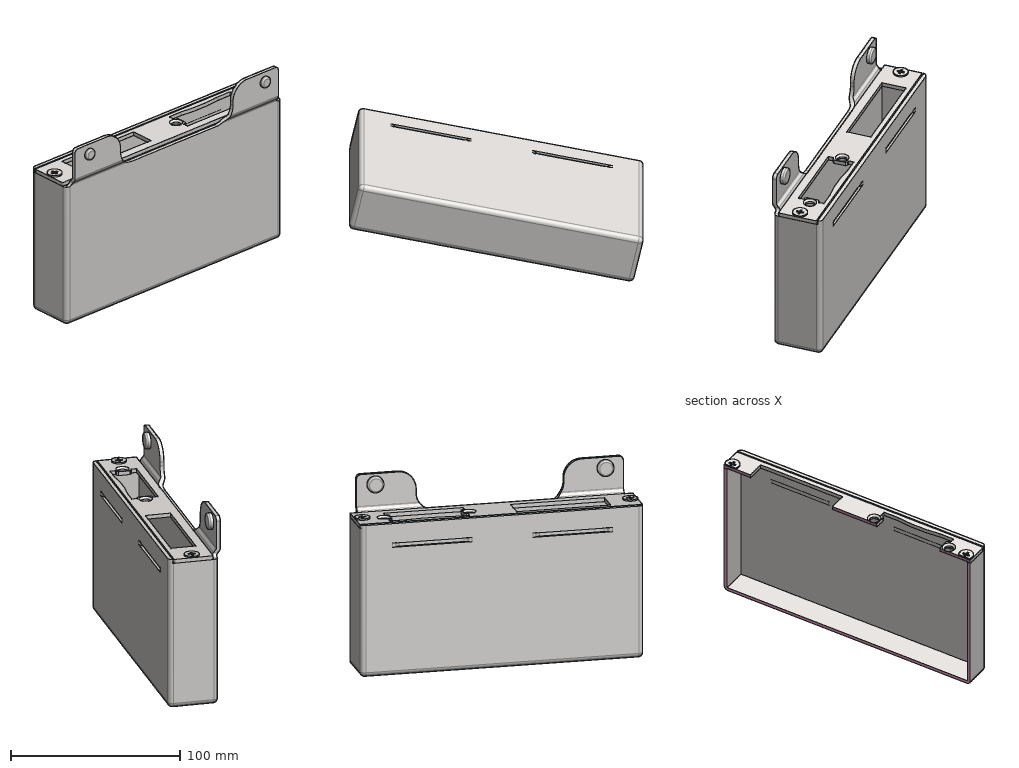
import cadquery as cq
import math

length = 172.0
width = 30.5
body_height = 93.7
total_height = 116.0
sheet = 2.4
bend_radius = 3.0
inner_bend_radius = bend_radius - sheet
rim_height = body_height - sheet

tab_outer_y = 81.2
tab_inner_y = 44.9
tab_sweep_radius = 11.0
tab_corner_radius = 2.5
tab_root_radius = 2.5
jog_angle = 40
jog_rise = sheet / math.tan(math.radians(jog_angle))
jog_inner_start = 93.2
jog_outer_start = jog_inner_start - sheet * math.tan(math.radians(jog_angle / 2))

feature_y = 42.7
groove_length = 48.3
groove_height = 2.5
groove_top = 81.7
groove_depth = 1.7
groove_ramp = 4.5

lid_gap = 0.9
lid_corner_radius = 0.5
lid_width = width - 2 * (sheet + lid_gap)
window_x = 14.0
connector_width = 16.2
connector_length = 48.3
connector_bulge = 1.0
connector_bulge_length = 29.2
lug_width = 9.3
lug_reach = 2.2
lug_chamfer = 1.0
jack_hole_spacing = 52.1
jack_hole_diameter = 5.5
jack_sink_diameter = 7.9
jack_sink_taper = 45
plain_window_width = 15.3
plain_window_length = 57.1
plain_window_y = -38.9

screw_y = 81.5
screw_head_diameter = 9.0
screw_head_height = 0.9
screw_shank_diameter = 4.1
cross_length = 4.3
cross_width = 1.0
cross_depth = 0.7
cross_taper = 30

stud_y = 70.0
stud_z = 109.5
stud_head_diameter = 10.0
stud_head_height = 2.8
stud_shank_diameter = 7.0
stud_tip_length = 2.0
stud_rounding = 1.0


def block(x0, x1, y0, y1, z0, z1):
    """Box between the given limits."""
    return cq.Workplane("XY").box(x1 - x0, y1 - y0, z1 - z0, centered=False).translate((x0, y0, z0))


def tray():
    """Open box with rounded bends; only the -X wall reaches up to the lid's top face."""
    outer = block(0, width, -length / 2, length / 2, 0, body_height)
    outer = outer.edges("|Z").fillet(bend_radius).faces("<Z").edges().fillet(bend_radius)
    half_cavity = length / 2 - sheet
    cavity = block(sheet, width - sheet, -half_cavity, half_cavity, sheet, body_height)
    lid_space = block(sheet, width, -length / 2, length / 2, rim_height, body_height)
    return outer.cut(cavity).cut(lid_space)


def tab_outline():
    """Face shape of the +Y tab, drawn in Y and Z and extruded along X."""
    top = total_height
    diagonal = math.sqrt(0.5)
    sweep = tab_sweep_radius
    root = tab_root_radius
    sweep_mid = sweep * (1 - diagonal)
    root_mid = root * (1 - diagonal)
    outline = (
        cq.Workplane("YZ")
        .moveTo(tab_inner_y - sweep, rim_height)
        .threePointArc((tab_inner_y - sweep_mid, rim_height + sweep_mid), (tab_inner_y, rim_height + sweep))
        .lineTo(tab_inner_y, top - sweep)
        .threePointArc((tab_inner_y + sweep_mid, top - sweep_mid), (tab_inner_y + sweep, top))
        .lineTo(tab_outer_y - tab_corner_radius, top)
        .radiusArc((tab_outer_y, top - tab_corner_radius), tab_corner_radius)
        .lineTo(tab_outer_y, rim_height + root)
        .threePointArc((tab_outer_y + root_mid, rim_height + root_mid), (tab_outer_y + root, rim_height))
        .close()
    )
    return outline.extrude(width + 2 * sheet)


def tab_sheet():
    """Sheet that steps outward by its own thickness, extruded along the whole length."""
    inner_x = width - sheet
    outer_x = width + sheet
    profile = (
        cq.Workplane("XZ", origin=(0, length / 2, 0))
        .moveTo(inner_x, rim_height)
        .lineTo(inner_x, jog_inner_start)
        .lineTo(width, jog_inner_start + jog_rise)
        .lineTo(width, total_height)
        .lineTo(outer_x, total_height)
        .lineTo(outer_x, jog_outer_start + jog_rise)
        .lineTo(width, jog_outer_start)
        .lineTo(width, rim_height)
        .close()
        .extrude(length)
    )
    outside_corners = [(inner_x, jog_inner_start), (outer_x, jog_outer_start + jog_rise)]
    inside_corners = [(width, jog_inner_start + jog_rise), (width, jog_outer_start)]
    for corners, radius in ((outside_corners, bend_radius), (inside_corners, inner_bend_radius)):
        for x, z in corners:
            profile = profile.edges(cq.selectors.NearestToPointSelector((x, 0, z))).fillet(radius)
    return profile


def stud_axis(side):
    """Workplane on a stud's axis, facing +X from the outer face of the +X wall."""
    return cq.Workplane("YZ", origin=(width, side * stud_y, stud_z))


def groove_cutter(side):
    """Shallow groove whose floor meets the wall through an S-shaped ramp at each end."""
    half = groove_length / 2
    ramp_mid = half - groove_ramp / 2
    flat = half - groove_ramp
    mid_depth = groove_depth / 2
    ramp_radius = ((groove_ramp / 2) ** 2 + mid_depth ** 2) / (2 * mid_depth)
    return (
        cq.Workplane("XY", origin=(0, side * feature_y, groove_top - groove_height))
        .moveTo(0, -half)
        .radiusArc((mid_depth, -ramp_mid), ramp_radius)
        .radiusArc((groove_depth, -flat), -ramp_radius)
        .lineTo(groove_depth, flat)
        .radiusArc((mid_depth, ramp_mid), -ramp_radius)
        .radiusArc((0, half), ramp_radius)
        .close()
        .extrude(groove_height)
    )


def make_housing():
    tab = tab_outline().intersect(tab_sheet())
    body = tray().union(tab).union(tab.mirror("XZ"))
    for side in (-1, 1):
        body = body.cut(stud_axis(side).circle(stud_shank_diameter / 2).extrude(sheet))
        body = body.cut(groove_cutter(side))
    return body


def connector_window():
    """Window with a bulged -X edge and a chamfered lug reaching in at each end."""
    left = window_x - connector_width / 2
    half_bulge = connector_bulge_length / 2
    window = (
        cq.Workplane("XY", origin=(0, feature_y, rim_height))
        .moveTo(left, -connector_length / 2)
        .lineTo(left + connector_width, -connector_length / 2)
        .lineTo(left + connector_width, connector_length / 2)
        .lineTo(left, connector_length / 2)
        .lineTo(left, half_bulge)
        .threePointArc((left + connector_bulge, 0), (left, -half_bulge))
        .close()
        .extrude(sheet)
    )
    for side in (-1, 1):
        lug = (
            cq.Workplane("XY", origin=(window_x, feature_y + side * connector_length / 2, rim_height))
            .rect(lug_width, 2 * lug_reach)
            .extrude(sheet)
            .edges("|Z")
            .chamfer(lug_chamfer)
        )
        window = window.cut(lug)
    return window


def jack_hole(side):
    """Through hole, countersunk at the lid's top face."""
    top = cq.Workplane("XY", origin=(window_x, feature_y + side * jack_hole_spacing / 2, body_height))
    hole = top.circle(jack_hole_diameter / 2).extrude(-sheet)
    sink_depth = (jack_sink_diameter - jack_hole_diameter) / 2 / math.tan(math.radians(jack_sink_taper))
    sink = top.circle(jack_sink_diameter / 2).extrude(-sink_depth, taper=jack_sink_taper)
    return hole.union(sink)


def screw_base(side):
    """Workplane on a screw's axis, at the lid's top face."""
    return cq.Workplane("XY", origin=(width / 2, side * screw_y, body_height))


def make_lid():
    left = (width - lid_width) / 2
    lid = block(left, left + lid_width, -length / 2, length / 2, rim_height, body_height)
    lid = lid.edges("|Z").fillet(lid_corner_radius)
    lid = lid.cut(connector_window())
    plain_window = (
        cq.Workplane("XY", origin=(window_x, plain_window_y, rim_height))
        .rect(plain_window_width, plain_window_length)
        .extrude(sheet)
    )
    lid = lid.cut(plain_window)
    for side in (-1, 1):
        lid = lid.cut(jack_hole(side))
        lid = lid.cut(screw_base(side).circle(screw_shank_diameter / 2).extrude(-sheet))
    return lid


def make_screw(side):
    """Flat-headed screw on the lid, with a cross recess and a shank through the lid."""
    base = screw_base(side)
    screw = base.circle(screw_head_diameter / 2).extrude(screw_head_height)
    screw = screw.union(base.circle(screw_shank_diameter / 2).extrude(-sheet))
    head_top = base.workplane(offset=screw_head_height)
    for size in ((cross_length, cross_width), (cross_width, cross_length)):
        screw = screw.cut(head_top.rect(*size).extrude(-cross_depth, taper=cross_taper))
    return screw


def make_stud(side):
    """Riveted stud: wide rounded head inside the tab, narrower rounded tip outside."""
    axis = stud_axis(side)
    head = axis.circle(stud_head_diameter / 2).extrude(-stud_head_height)
    head = head.faces("<X").edges().fillet(stud_rounding)
    shank = axis.circle(stud_shank_diameter / 2).extrude(sheet + stud_tip_length)
    shank = shank.faces(">X").edges().fillet(stud_rounding)
    return head.union(shank)


housing = make_housing()
lid = make_lid()
screws = [make_screw(side) for side in (-1, 1)]
studs = [make_stud(side) for side in (-1, 1)]

result = cq.Compound.makeCompound(
    [housing.val(), lid.val(), *[screw.val() for screw in screws], *[stud.val() for stud in studs]]
)